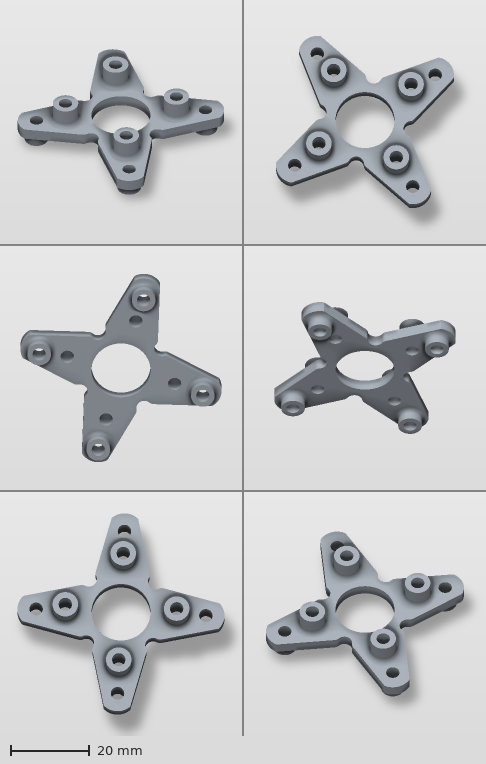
import cadquery as cq
import math

plate_size = 40.0
plate_thickness = 3.0
bore_diameter = 15.0

arm_hole_offset = 15.25
notch_depth_offset = 10.0
notch_radius = 2.0
notch_corner_radius = 1.6
arm_edge_angle = 31.5

upper_boss_offset = 10.0
upper_boss_diameter = 6.5
upper_boss_height = 5.0
lower_boss_diameter = 6.0
lower_boss_height = 3.0
boss_fillet = 1.0
screw_hole_diameter = 3.4

HALF_WAY = math.sqrt(0.5)
half_size = plate_size / 2
tip_radius = half_size - arm_hole_offset
notch_center = notch_depth_offset + notch_radius


def four_corners(offset):
    """Points on the diagonals at the given X and Y distance."""
    return [(sx * offset, sy * offset) for sx in (-1, 1) for sy in (-1, 1)]


def rotated(point, quarter_turns):
    """Turn a point about the origin by whole quarter turns."""
    x, y = point
    for _ in range(quarter_turns):
        x, y = -y, x
    return x, y


def make_plate():
    """Four-armed plate with a rounded notch between neighbouring arms."""
    slope = math.radians(arm_edge_angle)
    normal = (-math.sin(slope), math.cos(slope))

    notch_reach = notch_radius + notch_corner_radius
    line_x = arm_hole_offset - notch_corner_radius * normal[0]
    line_y = half_size - notch_corner_radius * normal[1]
    edge_gap = line_x * normal[0] + (line_y - notch_center) * normal[1]
    along = math.sqrt(notch_reach**2 - edge_gap**2)
    corner_x = edge_gap * normal[0] + along * math.cos(slope)
    corner_y = notch_center + edge_gap * normal[1] + along * math.sin(slope)

    edge_start = (
        corner_x + notch_corner_radius * normal[0],
        corner_y + notch_corner_radius * normal[1],
    )
    notch_share = notch_radius / notch_reach
    notch_end = (
        corner_x * notch_share,
        notch_center + (corner_y - notch_center) * notch_share,
    )
    to_notch = (-corner_x / notch_reach, (notch_center - corner_y) / notch_reach)
    bisector = (normal[0] + to_notch[0], normal[1] + to_notch[1])
    bisector_length = math.hypot(*bisector)
    corner_middle = (
        corner_x + notch_corner_radius * bisector[0] / bisector_length,
        corner_y + notch_corner_radius * bisector[1] / bisector_length,
    )
    tip_start = (arm_hole_offset, half_size)
    tip_middle = arm_hole_offset + tip_radius * HALF_WAY

    def mirrored(point):
        return -point[0], point[1]

    outline = cq.Workplane("XY").moveTo(*tip_start)
    for turn in range(4):
        outline = (
            outline.lineTo(*rotated(edge_start, turn))
            .threePointArc(rotated(corner_middle, turn), rotated(notch_end, turn))
            .threePointArc(
                rotated((0, notch_depth_offset), turn),
                rotated(mirrored(notch_end), turn),
            )
            .threePointArc(
                rotated(mirrored(corner_middle), turn),
                rotated(mirrored(edge_start), turn),
            )
            .lineTo(*rotated(mirrored(tip_start), turn))
            .threePointArc(
                rotated((-tip_middle, tip_middle), turn),
                rotated(tip_start, turn + 1),
            )
        )
    return outline.close().extrude(plate_thickness)


def make_boss(diameter, height):
    """Boss standing on Z = 0, with a concave fillet flaring out at its foot."""
    radius = diameter / 2
    foot_radius = radius + boss_fillet
    arc_reach = boss_fillet * (1 - HALF_WAY)
    return (
        cq.Workplane("XZ")
        .lineTo(foot_radius, 0)
        .threePointArc((radius + arc_reach, arc_reach), (radius, boss_fillet))
        .lineTo(radius, height)
        .lineTo(0, height)
        .close()
        .revolve(360, (0, 0), (0, 1))
    )


result = make_plate()

upper_boss = make_boss(upper_boss_diameter, upper_boss_height)
for x, y in four_corners(upper_boss_offset):
    result = result.union(upper_boss.translate((x, y, plate_thickness)))

lower_boss = make_boss(lower_boss_diameter, lower_boss_height).mirror("XY")
for x, y in four_corners(arm_hole_offset):
    result = result.union(lower_boss.translate((x, y, 0)))

total_height = lower_boss_height + plate_thickness + upper_boss_height
cutters = cq.Workplane("XY", origin=(0, 0, -lower_boss_height))
hole_points = four_corners(upper_boss_offset) + four_corners(arm_hole_offset)
result = result.cut(cutters.circle(bore_diameter / 2).extrude(total_height))
result = result.cut(cutters.pushPoints(hole_points).circle(screw_hole_diameter / 2).extrude(total_height))